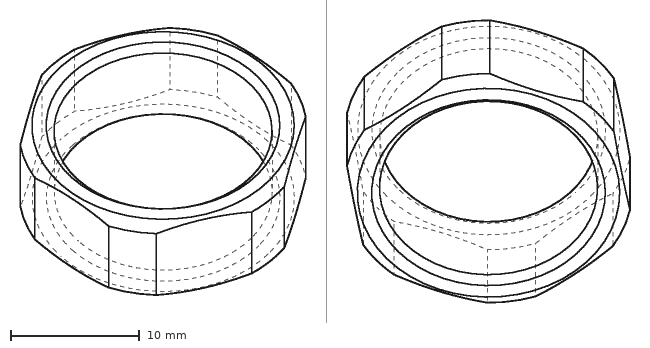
import cadquery as cq
import math

outer_diameter = 22.38
across_flats = 21.0
height = 8.0
bore_diameter = 16.92
bore_mouth_diameter = 18.13
bore_chamfer_angle = 45.0
face_diameter = 20.37
outer_chamfer_angle = 30.0

outer_radius = outer_diameter / 2
bore_radius = bore_diameter / 2
bore_mouth_radius = bore_mouth_diameter / 2
face_radius = face_diameter / 2
outer_chamfer_depth = (outer_radius - face_radius) * math.tan(math.radians(outer_chamfer_angle))
bore_chamfer_depth = (bore_mouth_radius - bore_radius) * math.tan(math.radians(bore_chamfer_angle))


def chamfered_ring():
    """Revolved ring with conical chamfers on both ends, inside and outside."""
    return (
        cq.Workplane("XZ")
        .moveTo(bore_radius, bore_chamfer_depth)
        .lineTo(bore_mouth_radius, 0)
        .lineTo(face_radius, 0)
        .lineTo(outer_radius, outer_chamfer_depth)
        .lineTo(outer_radius, height - outer_chamfer_depth)
        .lineTo(face_radius, height)
        .lineTo(bore_mouth_radius, height)
        .lineTo(bore_radius, height - bore_chamfer_depth)
        .close()
        .revolve(360, (0, 0, 0), (0, 1, 0))
    )


def hexagon_prism():
    """Hexagon with corners on the X axis and flats facing +Y and -Y."""
    corner_diameter = across_flats / math.cos(math.pi / 6)
    return cq.Workplane("XY").polygon(6, corner_diameter).extrude(height)


result = chamfered_ring().intersect(hexagon_prism())